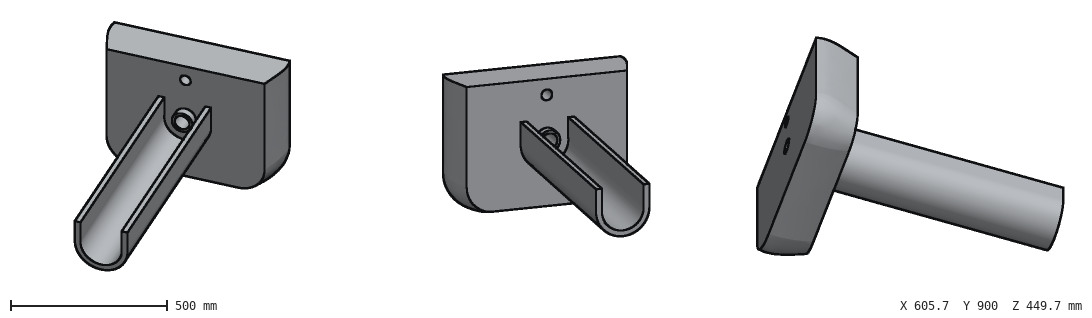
import cadquery as cq

total_length = 900.0

block_depth = 149.0
shoulder_depth = 60.0
back_width = 598.5
back_height = 448.0
back_corner_radius = 117.0
taper_depth = 105.0
taper_width = 571.0
taper_height = 440.0
taper_corner_radius = 104.0
front_width = 540.0
front_height = 427.0
front_corner_radius = 90.0

spout_drop = 199.0
spout_radius = 35.0
spout_bore_radius = 25.0
spout_length = 30.0
upper_hole_drop = 54.0
upper_hole_radius = 18.0

trough_gap = 5.0
trough_width = 180.0
trough_wall = 20.0
trough_rim_drop = 134.0
trough_wall_end_drop = 203.0
trough_bottom_drop = 301.0


def plane_at(depth):
    """Plane facing the front, at a distance in front of the block's back."""
    return cq.Workplane("XZ", origin=(0, -depth, 0))


def block_section(depth, width, height, radius):
    """Wire with a flat top and two rounded lower corners."""
    half = width / 2
    diagonal = radius * (1 - 0.5 ** 0.5)
    return (
        plane_at(depth)
        .moveTo(-half, 0)
        .lineTo(-half, radius - height)
        .threePointArc((diagonal - half, diagonal - height), (radius - half, -height))
        .lineTo(half - radius, -height)
        .threePointArc((half - diagonal, diagonal - height), (half, radius - height))
        .lineTo(half, 0)
        .close()
        .val()
    )


def cylinder_along_y(start, length, drop, radius):
    return plane_at(start).center(0, -drop).circle(radius).extrude(length)


def make_block():
    """Bulging block with its front spout and two through holes."""
    sections = [
        block_section(0, back_width, back_height, back_corner_radius),
        block_section(shoulder_depth, back_width, back_height, back_corner_radius),
        block_section(taper_depth, taper_width, taper_height, taper_corner_radius),
        block_section(block_depth, front_width, front_height, front_corner_radius),
    ]
    body = cq.Workplane(cq.Solid.makeLoft(sections))
    spout = cylinder_along_y(block_depth, spout_length, spout_drop, spout_radius)
    bore = cylinder_along_y(0, block_depth + spout_length, spout_drop, spout_bore_radius)
    upper_hole = cylinder_along_y(0, block_depth, upper_hole_drop, upper_hole_radius)
    return body.union(spout).cut(bore).cut(upper_hole).solids()


def make_trough():
    """Open U channel in front of the block."""
    start = block_depth + trough_gap
    outer = trough_width / 2
    inner = outer - trough_wall
    return (
        plane_at(start)
        .moveTo(-outer, -trough_rim_drop)
        .lineTo(-outer, -trough_wall_end_drop)
        .threePointArc((0, -trough_bottom_drop), (outer, -trough_wall_end_drop))
        .lineTo(outer, -trough_rim_drop)
        .lineTo(inner, -trough_rim_drop)
        .lineTo(inner, -trough_wall_end_drop)
        .threePointArc((0, trough_wall - trough_bottom_drop), (-inner, -trough_wall_end_drop))
        .lineTo(-inner, -trough_rim_drop)
        .close()
        .extrude(total_length - start)
    )


block = make_block()
trough = make_trough()
result = cq.Compound.makeCompound([block.val(), trough.val()])